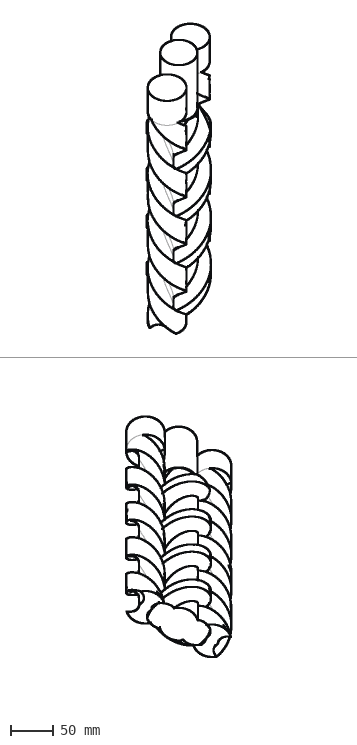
import math

import cadquery as cq


total_length = 396.5
half_lead = 76.5
rotor_half_turns = 4
rotor_screw_length = rotor_half_turns * half_lead
idler_screw_length = 341.0
idler_length = 381.0
chamfer_height = 28.0

pitch_radius = 23.0
rotor_diameter = 76.5
rotor_radius = rotor_diameter / 2
shaft_diameter = 44.0
centre_distance = 2 * pitch_radius

starts = 2
half_tooth = math.pi / (2 * starts)
flank_steps = 10
envelope_margin = 4.0


def polar(radius, angle):
    return (radius * math.cos(angle), radius * math.sin(angle))


def cosine_rule_angle(side_a, side_b, opposite):
    return math.acos((side_a**2 + side_b**2 - opposite**2) / (2 * side_a * side_b))


idler_roll = cosine_rule_angle(pitch_radius, centre_distance, rotor_radius)
rotor_roll = cosine_rule_angle(rotor_radius, centre_distance, pitch_radius)
flank_angle = idler_roll - rotor_roll
half_land = half_tooth - flank_angle


def corner_path(tip_radius, roll):
    """Radius and angle of a tip corner of one screw, as seen from the mating screw."""
    x = centre_distance - tip_radius * math.cos(roll)
    y = tip_radius * math.sin(roll)
    return math.hypot(x, y), math.atan2(y, x) - roll


def rotor_flank():
    """Convex flank from pitch circle to outside: (radius, angle from the tooth centre)."""
    path = [corner_path(pitch_radius, idler_roll * i / flank_steps) for i in range(flank_steps + 1)]
    return [(radius, half_tooth + angle) for radius, angle in path]


def idler_flank():
    """Concave flank from outside to groove floor: (radius, angle from the groove centre)."""
    path = [corner_path(rotor_radius, rotor_roll * i / flank_steps) for i in range(flank_steps + 1)]
    return [(radius, half_land + angle) for radius, angle in reversed(path)]


def screw_section(flank):
    """Two-start section with flank pairs centred on +Y and -Y, joined by arcs."""
    centre_radius = flank[-1][0]
    gap_radius = flank[0][0]
    centre_angles = [math.pi / 2 + k * 2 * math.pi / starts for k in range(starts)]

    section = cq.Workplane("XY")
    section = section.moveTo(*polar(gap_radius, centre_angles[0] - flank[0][1]))
    for centre in centre_angles:
        entering = [polar(radius, centre - angle) for radius, angle in flank]
        leaving = [polar(radius, centre + angle) for radius, angle in reversed(flank)]
        next_gap = centre + math.pi / starts
        next_start = centre + 2 * math.pi / starts - flank[0][1]
        section = (
            section.spline(entering[1:], includeCurrent=True)
            .threePointArc(polar(centre_radius, centre), leaving[0])
            .spline(leaving[1:], includeCurrent=True)
            .threePointArc(polar(gap_radius, next_gap), polar(gap_radius, next_start))
        )
    return section.close()


def twist_degrees(length):
    return 180 * length / half_lead


def make_rotor():
    """Right-hand screw with a conical run-out and a plain drive shaft."""
    screw = screw_section(rotor_flank()).twistExtrude(
        rotor_screw_length, twist_degrees(rotor_screw_length)
    )
    envelope_radius = rotor_radius + envelope_margin
    cone_slope = (rotor_radius - pitch_radius) / chamfer_height
    cone_base = rotor_screw_length - chamfer_height - envelope_margin / cone_slope
    envelope = (
        cq.Workplane("XZ")
        .polyline([
            (0, 0),
            (envelope_radius, 0),
            (envelope_radius, cone_base),
            (pitch_radius, rotor_screw_length),
            (0, rotor_screw_length),
        ])
        .close()
        .revolve(360, (0, 0), (0, 1))
    )
    shaft = (
        cq.Workplane("XY", origin=(0, 0, rotor_screw_length))
        .circle(shaft_diameter / 2)
        .extrude(total_length - rotor_screw_length)
    )
    return screw.intersect(envelope).union(shaft)


def make_idler(centre_y):
    """Left-hand screw with a plain cylindrical head."""
    screw = screw_section(idler_flank()).twistExtrude(
        idler_screw_length, -twist_degrees(idler_screw_length)
    )
    head = (
        cq.Workplane("XY", origin=(0, 0, idler_screw_length))
        .circle(pitch_radius)
        .extrude(idler_length - idler_screw_length)
    )
    return screw.union(head).translate((0, centre_y, 0))


rotor = make_rotor()
idlers = [make_idler(side * centre_distance) for side in (-1, 1)]

result = cq.Compound.makeCompound([rotor.solids().val(), *[idler.solids().val() for idler in idlers]])